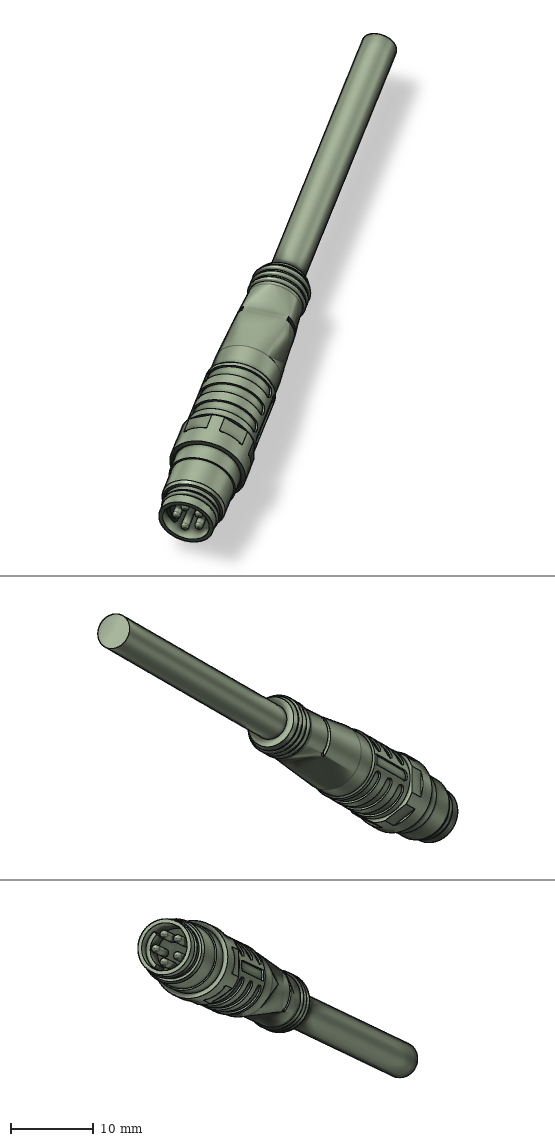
import cadquery as cq
import math


total_length = 81.4

nose_diameter = 6.9
bore_diameter = 5.9
bore_depth = 4.0
key_inner_diameter = 4.8
key_angle = 100
key_inset = 1.5
seal_groove_start = 1.3
seal_groove_end = 2.15
seal_groove_diameter = 6.5
seal_diameter = 7.2
seal_section = 0.7

sleeve_start = 2.75
sleeve_chamfer_length = 0.45
sleeve_chamfer_depth = 0.2
sleeve_diameter = 8.0
step_start = 6.85
step_diameter = 8.4

ring_start = 9.1
ring_diameter = 9.6
ring_end = 13.65
flats_start = 11.4
flat_count = 6
across_flats = 9.0

neck_diameter = 6.5

grip_start = 14.05
grip_end = 23.15
grip_diameter = 8.9
grip_chamfer = 0.2
grip_floor_diameter = 8.4
groove_width = 1.5
groove_pitch = 2.95
groove_count = 3
last_groove_end = 22.4
groove_corner_radius = 0.7
groove_side_gap = 1.3
slot_length = 7.65
slot_width = 1.35
slot_corner_radius = 0.65

body_diameter = 8.4
taper_start = 26.05
taper_end = 37.3
taper_end_diameter = 6.95
taper_bulge = 0.06
notch_start = 33.1
notch_width = 0.6
notch_floor = 2.85

rib_start = 37.8
rib_pitch = 1.0
rib_count = 3
rib_valley_diameter = 6.9
rib_width = 0.75
rib_height = 0.25
boot_lip = 40.75
boot_end = 41.3
boot_end_diameter = 6.3

cable_diameter = 4.4

pin_diameter = 1.0
pin_tip_radius = 0.45
pin_circle_radius = 1.75
pin_single_offset = 1.45
pin_tip_inset = 0.4
pin_angles = (37, 102, -102, -37)


def ring_of(outer_diameter, inner_diameter, start, length):
    """Tube around the Y axis."""
    tube = cq.Workplane("XZ", origin=(0, start, 0)).circle(outer_diameter / 2)
    return tube.circle(inner_diameter / 2).extrude(-length)


def make_body():
    """Turned outline of the whole plug and cable."""
    nose_r = nose_diameter / 2
    sleeve_r = sleeve_diameter / 2
    grip_r = grip_diameter / 2
    body_r = body_diameter / 2
    taper_r = taper_end_diameter / 2
    valley_r = rib_valley_diameter / 2
    neck_r = neck_diameter / 2

    outline = (
        cq.Workplane("XY")
        .moveTo(0, 0)
        .lineTo(nose_r, 0)
        .lineTo(nose_r, sleeve_start)
        .lineTo(sleeve_r - sleeve_chamfer_depth, sleeve_start)
        .lineTo(sleeve_r, sleeve_start + sleeve_chamfer_length)
        .lineTo(sleeve_r, step_start)
        .lineTo(step_diameter / 2, step_start)
        .lineTo(step_diameter / 2, ring_start)
        .lineTo(ring_diameter / 2, ring_start)
        .lineTo(ring_diameter / 2, ring_end)
        .lineTo(neck_r, ring_end)
        .lineTo(neck_r, grip_start)
        .lineTo(grip_r, grip_start)
        .lineTo(grip_r, grip_end - grip_chamfer)
        .lineTo(body_r, grip_end)
        .lineTo(body_r, taper_start)
        .threePointArc(
            ((body_r + taper_r) / 2 + taper_bulge, (taper_start + taper_end) / 2),
            (taper_r, taper_end),
        )
    )
    for index in range(rib_count):
        start = rib_start + index * rib_pitch
        outline = outline.lineTo(valley_r, start).threePointArc(
            (valley_r + rib_height, start + rib_width / 2), (valley_r, start + rib_width)
        )
    outline = (
        outline.lineTo(valley_r, boot_lip)
        .lineTo(boot_end_diameter / 2, boot_end)
        .lineTo(cable_diameter / 2, boot_end)
        .lineTo(cable_diameter / 2, total_length)
        .lineTo(0, total_length)
        .close()
    )
    return outline.revolve(360, (0, 0, 0), (0, 1, 0))


def make_seal_groove():
    """Groove around the nose for the sealing ring."""
    length = seal_groove_end - seal_groove_start
    return ring_of(2 * nose_diameter, seal_groove_diameter, seal_groove_start, length)


def make_seal():
    """Round-section sealing ring seated in its groove."""
    middle = (seal_groove_start + seal_groove_end) / 2
    center = (seal_diameter - seal_section) / 2
    section = cq.Workplane("XY").center(center, middle).circle(seal_section / 2)
    return section.revolve(360, (-center, 0, 0), (-center, 1, 0))


def make_socket():
    """Open bore in the nose."""
    return cq.Workplane("XZ").circle(bore_diameter / 2).extrude(-bore_depth)


def make_key():
    """Arc-shaped coding rib on the -X side of the bore, rooted halfway into the nose wall."""
    outer_diameter = (bore_diameter + nose_diameter) / 2
    tube = ring_of(outer_diameter, key_inner_diameter, key_inset, bore_depth - key_inset)
    half_angle = math.radians(key_angle / 2)
    reach = nose_diameter
    rise = reach * math.tan(half_angle)
    wedge = cq.Workplane("XZ").polyline([(0, 0), (-reach, rise), (-reach, -rise)]).close()
    return tube.intersect(wedge.extrude(-bore_depth))


def make_pins():
    """Five round-tipped contacts standing on the bore floor."""
    places = [(-pin_single_offset, 0)]
    for angle in pin_angles:
        turn = math.radians(angle)
        places.append((pin_circle_radius * math.cos(turn), pin_circle_radius * math.sin(turn)))
    pins = cq.Workplane("XZ", origin=(0, bore_depth, 0)).pushPoints(places)
    pins = pins.circle(pin_diameter / 2).extrude(bore_depth - pin_tip_inset)
    return pins.faces("<Y").edges().fillet(pin_tip_radius)


def make_flat_cutter():
    """Material outside the hexagon of wrench flats on the rear of the ring."""
    length = ring_end - flats_start
    corner_diameter = across_flats / math.cos(math.pi / flat_count)
    hexagon = cq.Workplane("XZ", origin=(0, flats_start, 0)).polygon(flat_count, corner_diameter)
    hexagon = hexagon.extrude(-length).rotate((0, 0, 0), (0, 1, 0), 180 / flat_count)
    blank = cq.Workplane("XZ", origin=(0, flats_start, 0)).circle(ring_diameter).extrude(-length)
    return blank.cut(hexagon)


def make_grip_cutter():
    """Finger grooves over the top and bottom, and one lengthwise slot on each side."""
    reach = ring_diameter
    length = grip_end - grip_start
    windows = cq.Workplane("XY")
    for index in range(groove_count):
        middle = last_groove_end - groove_width / 2 - index * groove_pitch
        for side in (-1, 1):
            window = cq.Workplane("XY").box(2 * reach, groove_width, reach).edges("|X")
            window = window.fillet(groove_corner_radius)
            windows = windows.add(window.translate((0, middle, side * (groove_side_gap + reach / 2))))
    slot = cq.Workplane("XY").box(2 * reach, slot_length, slot_width)
    slot = slot.edges("|X and <Y").fillet(slot_corner_radius)
    windows = windows.add(slot.translate((0, last_groove_end - slot_length / 2, 0)))
    shell = ring_of(2 * grip_diameter, grip_floor_diameter, grip_start, length)
    return shell.intersect(windows.combine())


def make_notches():
    """Flat-bottomed cross notches on both sides of the taper."""
    depth = body_diameter
    notch = cq.Workplane("XY").box(depth, notch_width, 2 * body_diameter)
    middle = notch_start + notch_width / 2
    offset = notch_floor + depth / 2
    return notch.translate((offset, middle, 0)).union(notch.translate((-offset, middle, 0)))


result = make_body().cut(make_seal_groove()).union(make_seal())
result = result.cut(make_socket()).union(make_key()).union(make_pins())
result = result.cut(make_flat_cutter()).cut(make_grip_cutter()).cut(make_notches())